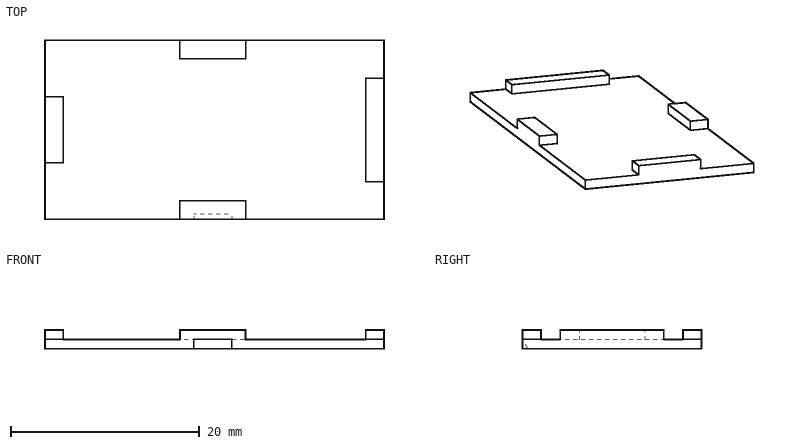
import cadquery as cq

length = 36.0
width = 19.0
height = 2.0
plate_thickness = height / 2

tab_depth = 1.98
short_tab = 7.0
long_tab = 10.98
side_tab_x = -0.18

notch_width = 4.0
notch_depth = 0.58


def tab(size_x, size_y, x, y):
    """Box from the underside of the plate to the top of the part, centred at (x, y)."""
    return cq.Workplane("XY").box(size_x, size_y, height, centered=(True, True, False)).translate((x, y, 0))


plate = cq.Workplane("XY").box(length, width, plate_thickness, centered=(True, True, False))

end_x = (length - tab_depth) / 2
side_y = (width - tab_depth) / 2
body = plate.union(tab(tab_depth, short_tab, -end_x, 0))
body = body.union(tab(tab_depth, long_tab, end_x, 0))
for side in (-1, 1):
    body = body.union(tab(short_tab, tab_depth, side_tab_x, side * side_y))

notch = (
    cq.Workplane("YZ", origin=(side_tab_x - notch_width / 2, 0, 0))
    .moveTo(-width / 2, 0)
    .lineTo(-width / 2 + notch_depth, 0)
    .lineTo(-width / 2, plate_thickness)
    .close()
    .extrude(notch_width)
)
result = body.cut(notch)